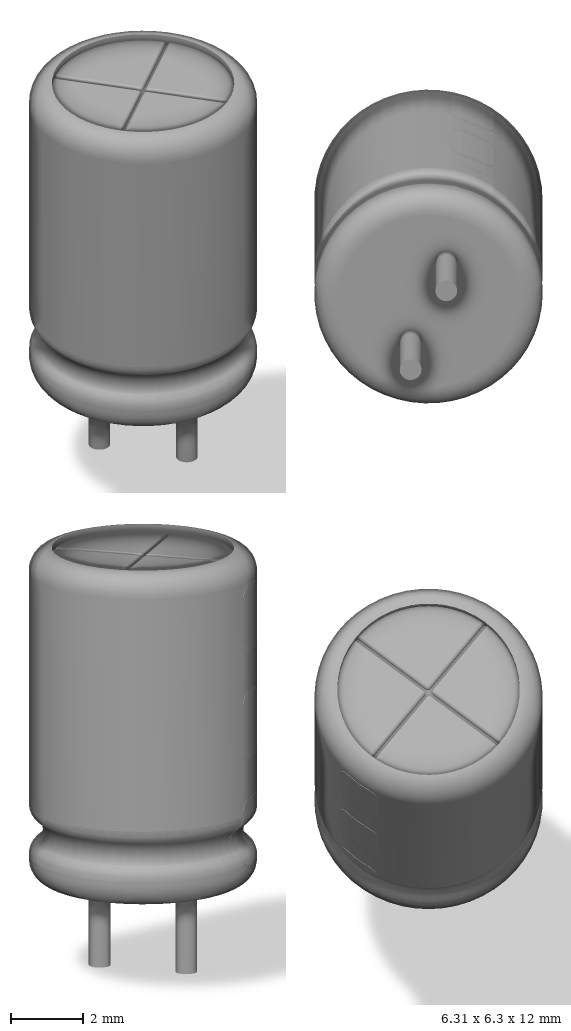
import cadquery as cq
import math


can_diameter = 6.3
can_height = 9.5
rim_radius = 0.1 * can_diameter
can_radius = can_diameter / 2

neck_center_z = 1.49
neck_half_height = 0.72
neck_depth = 0.385
waist_share = 0.455

lid_radius = can_radius - rim_radius
lid_recess = 0.2
vent_floor_width = 0.01 * can_diameter
vent_edge_radius = 0.015 * can_diameter
vent_depth = vent_edge_radius
vent_floor_z = can_height - lid_recess - vent_depth
quarter_block_depth = 4 * vent_depth

pad_count = 3
pad_width = 0.2 * can_diameter
pad_height = 0.2 * can_height
pad_gap = 0.12 * can_height
pad_corner_radius = 0.3
pad_thickness = 0.01

lead_diameter = 0.6
lead_pitch = 2.5
lead_length = 2.5


def draw_side(profile, radius):
    """Continue a profile from the bottom rim up the crimped side to the top rim."""
    bend = 2 * math.atan(neck_depth / neck_half_height)
    waist_half_height = waist_share * neck_half_height
    waist_radius = waist_half_height / math.sin(bend)
    shoulder_radius = (neck_half_height - waist_half_height) / math.sin(bend)

    joint_r = radius - shoulder_radius * (1 - math.cos(bend))
    shoulder_mid_r = radius - shoulder_radius * (1 - math.cos(bend / 2))
    shoulder_mid_rise = neck_half_height - shoulder_radius * math.sin(bend / 2)
    waist_r = joint_r - waist_radius * (1 - math.cos(bend))

    return (
        profile.lineTo(radius, neck_center_z - neck_half_height)
        .threePointArc(
            (shoulder_mid_r, neck_center_z - shoulder_mid_rise),
            (joint_r, neck_center_z - waist_half_height),
        )
        .threePointArc((waist_r, neck_center_z), (joint_r, neck_center_z + waist_half_height))
        .threePointArc(
            (shoulder_mid_r, neck_center_z + shoulder_mid_rise),
            (radius, neck_center_z + neck_half_height),
        )
        .lineTo(radius, can_height - rim_radius)
    )


def revolve_about_z(profile):
    return profile.close().revolve(360, (0, 0, 0), (0, 1, 0))


def make_can():
    rim_mid_r = lid_radius + rim_radius * math.sin(math.pi / 4)
    rim_mid_inset = rim_radius * (1 - math.cos(math.pi / 4))
    profile = (
        cq.Workplane("XZ")
        .lineTo(lid_radius, 0)
        .threePointArc((rim_mid_r, rim_mid_inset), (can_radius, rim_radius))
    )
    profile = (
        draw_side(profile, can_radius)
        .threePointArc((rim_mid_r, can_height - rim_mid_inset), (lid_radius, can_height))
        .lineTo(lid_radius, vent_floor_z)
        .lineTo(0, vent_floor_z)
    )
    return revolve_about_z(profile)


def make_pads():
    """Rounded rectangles that follow the can's side, neck included."""
    profile = cq.Workplane("XZ").moveTo(0, rim_radius).lineTo(can_radius + pad_thickness, rim_radius)
    profile = draw_side(profile, can_radius + pad_thickness)
    skin = revolve_about_z(profile.lineTo(0, can_height - rim_radius))

    pad_pitch = pad_height + pad_gap
    pad_centers = [
        (0, can_height / 2 + (i - (pad_count - 1) / 2) * pad_pitch) for i in range(pad_count)
    ]
    prisms = (
        cq.Workplane("YZ")
        .pushPoints(pad_centers)
        .rect(pad_width, pad_height)
        .extrude(-can_diameter)
        .edges("|X")
        .fillet(pad_corner_radius)
    )
    return skin.intersect(prisms)


def make_lid_quarters():
    """Four raised quarters with rolled inner edges; the gaps between them form the vent cross."""
    top_z = can_height - lid_recess
    block = (
        cq.Workplane("XY")
        .workplane(offset=top_z)
        .moveTo(vent_floor_width / 2, vent_floor_width / 2)
        .rect(can_radius, can_radius, centered=False)
        .extrude(-quarter_block_depth)
        .edges("(<X and <Y) or (>Z and <X) or (>Z and <Y)")
        .fillet(vent_edge_radius)
    )
    quarter = block.intersect(cq.Workplane("XY").circle(lid_radius).extrude(can_height))
    quarters = quarter
    for turn in (90, 180, 270):
        quarters = quarters.union(quarter.rotate((0, 0, 0), (0, 0, 1), turn))
    return quarters


def make_leads():
    return (
        cq.Workplane("XY")
        .pushPoints([(-lead_pitch / 2, 0), (lead_pitch / 2, 0)])
        .circle(lead_diameter / 2)
        .extrude(-lead_length)
    )


result = make_can().union(make_pads()).union(make_lid_quarters()).union(make_leads())